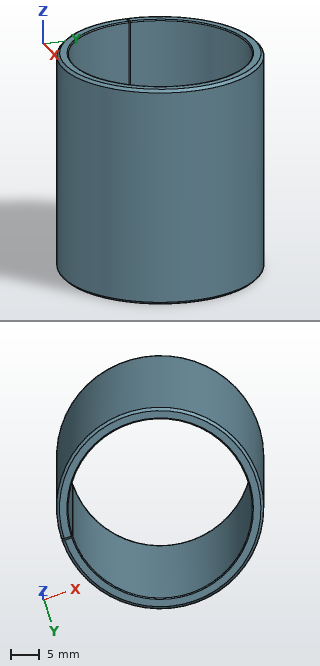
import cadquery as cq

outer_diameter = 36.0
inner_diameter = 32.0
length = 40.0
outer_chamfer = 0.5
inner_chamfer = 0.2
slit_angle = 1.0

full_turn = 360.0
half_turn = full_turn / 2
outer_radius = outer_diameter / 2
inner_radius = inner_diameter / 2
half_length = length / 2


def make_wall_section():
    """Cross-section of the wall on the +X side, with all four corners chamfered."""
    return (
        cq.Workplane("XZ")
        .moveTo(inner_radius + inner_chamfer, -half_length)
        .lineTo(outer_radius - outer_chamfer, -half_length)
        .lineTo(outer_radius, -half_length + outer_chamfer)
        .lineTo(outer_radius, half_length - outer_chamfer)
        .lineTo(outer_radius - outer_chamfer, half_length)
        .lineTo(inner_radius + inner_chamfer, half_length)
        .lineTo(inner_radius, half_length - inner_chamfer)
        .lineTo(inner_radius, -half_length + inner_chamfer)
        .close()
    )


def make_split_sleeve():
    """Revolve the wall short of a full turn, so the remaining angle is the slit."""
    sleeve = make_wall_section().revolve(full_turn - slit_angle, (0, 0, 0), (0, 1, 0))
    return sleeve.rotate((0, 0, 0), (0, 0, 1), half_turn)


result = make_split_sleeve()